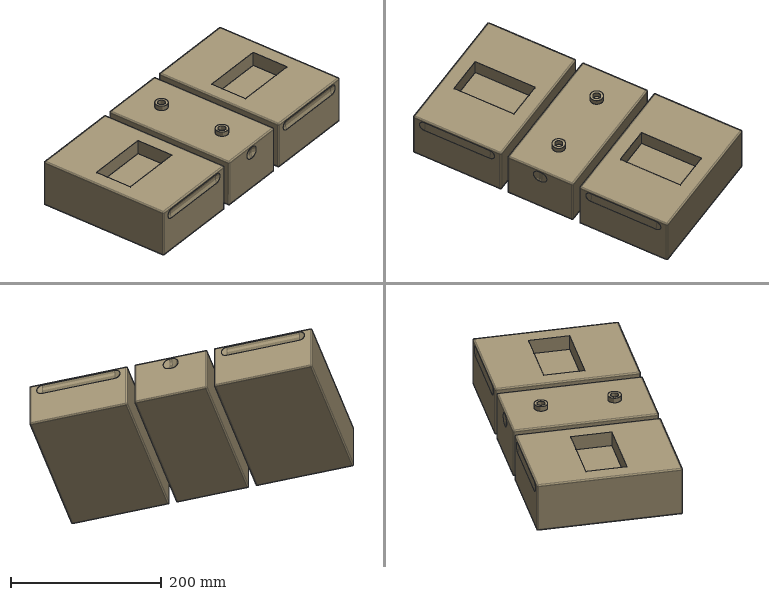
import cadquery as cq
import math

block_length = 198.0
block_height = 70.0
side_width = 135.0
middle_width = 100.0
block_gap = 10.0
side_offset = (middle_width + side_width) / 2 + block_gap
edge_radius = 2.0

pocket_length = 56.0
pocket_width = 92.0
pocket_depth = 21.0

stud_diameter = 18.0
stud_height = 7.0
stud_bore_diameter = 10.5
stud_bore_depth = stud_height
stud_spacing = 100.0

grip_radius = 16.0
side_grip_height = 15.0
side_grip_straight = 100.0
side_grip_level = 59.5
middle_grip_height = 17.5
middle_grip_straight = 3.0
middle_grip_level = 58.0


def rounded_block(width):
    """Block standing on Z = 0, with all its edges rounded."""
    block = cq.Workplane("XY").box(block_length, width, block_height, centered=(True, True, False))
    return block.edges().fillet(edge_radius)


def grip_cutter(straight, height, level):
    """Capsule along Y whose axis lies outside the -X face, so that it cuts a groove of the given height."""
    axis_offset = math.sqrt(grip_radius**2 - (height / 2) ** 2)
    axis_x = -block_length / 2 - axis_offset
    cutter = (
        cq.Workplane("XZ", origin=(axis_x, straight / 2, level))
        .circle(grip_radius)
        .extrude(straight)
    )
    for end_y in (-straight / 2, straight / 2):
        cutter = cutter.union(cq.Workplane("XY", origin=(axis_x, end_y, level)).sphere(grip_radius))
    return cutter


def cut_grips(block, straight, height, level):
    """Cut the same grip into both end faces."""
    cutter = grip_cutter(straight, height, level)
    return block.cut(cutter).cut(cutter.mirror("YZ"))


def make_side_block(center_y):
    """Side block with a top pocket and a long grip in each end face."""
    block = rounded_block(side_width)
    pocket = cq.Workplane("XY", origin=(0, 0, block_height - pocket_depth)).box(
        pocket_length, pocket_width, pocket_depth, centered=(True, True, False)
    )
    block = block.cut(pocket)
    block = cut_grips(block, side_grip_straight, side_grip_height, side_grip_level)
    return block.translate((0, center_y, 0))


def make_middle_block():
    """Middle block with two hollow studs on top and a short grip in each end face."""
    block = rounded_block(middle_width)
    block = cut_grips(block, middle_grip_straight, middle_grip_height, middle_grip_level)
    stud_centers = [(-stud_spacing / 2, 0), (stud_spacing / 2, 0)]
    studs = (
        cq.Workplane("XY", origin=(0, 0, block_height))
        .pushPoints(stud_centers)
        .circle(stud_diameter / 2)
        .extrude(stud_height)
    )
    bores = (
        cq.Workplane("XY", origin=(0, 0, block_height + stud_height))
        .pushPoints(stud_centers)
        .circle(stud_bore_diameter / 2)
        .extrude(-stud_bore_depth)
    )
    return block.union(studs).cut(bores)


middle_block = make_middle_block()
side_blocks = [make_side_block(center_y) for center_y in (-side_offset, side_offset)]

result = cq.Compound.makeCompound([middle_block.val(), *[block.val() for block in side_blocks]])